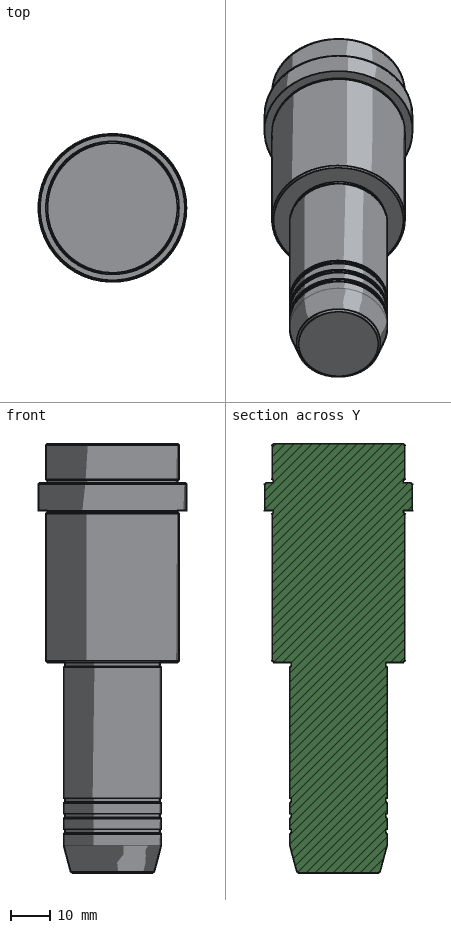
import cadquery as cq
import math

total_height = 110.0
body_radius = 17.0
collar_radius = 18.98
stem_radius = 12.5

body_bottom = 53.9
collar_bottom = 92.8
collar_top = 100.0
head_bottom = 100.5

edge_chamfer = 0.4
relief_depth = 0.3
stem_relief_height = 1.2
collar_relief_height = 0.8
groove_height = 1.2

cone_top = 7.2
cone_angle = 15.0
tip_radius = stem_radius - cone_top * math.tan(math.radians(cone_angle))

groove_count = 3
groove_pitch = 4.0
lowest_groove_bottom = 10.0


def cylinder(radius, bottom, top):
    """Solid cylinder on the Z axis between two heights."""
    return cq.Workplane("XY").workplane(offset=bottom).circle(radius).extrude(top - bottom)


def relief_ring(radius, bottom, height):
    """Ring for cutting a groove with a square upper wall and a 45 degree lower wall."""
    root_radius = radius - relief_depth
    profile = (
        cq.Workplane("XZ")
        .polyline([
            (radius, bottom),
            (radius, bottom + height),
            (root_radius, bottom + height),
            (root_radius, bottom + relief_depth),
        ])
        .close()
    )
    return profile.revolve(360, (0, 0, 0), (0, 1, 0))


stem_profile = (
    cq.Workplane("XZ")
    .polyline([
        (0, 0),
        (tip_radius, 0),
        (stem_radius, cone_top),
        (stem_radius, body_bottom),
        (0, body_bottom),
    ])
    .close()
)
stem = stem_profile.revolve(360, (0, 0, 0), (0, 1, 0)).faces("<Z").edges().chamfer(edge_chamfer)

for index in range(groove_count):
    groove_bottom = lowest_groove_bottom + index * groove_pitch
    stem = stem.cut(relief_ring(stem_radius, groove_bottom, groove_height))

stem = stem.cut(relief_ring(stem_radius, body_bottom - stem_relief_height, stem_relief_height))

body = cylinder(body_radius, body_bottom, collar_bottom).faces("<Z").edges().chamfer(edge_chamfer)
body = body.cut(relief_ring(body_radius, collar_bottom - collar_relief_height, collar_relief_height))

collar = cylinder(collar_radius, collar_bottom, collar_top).faces(">Z").edges().chamfer(edge_chamfer)
neck = cylinder(body_radius - relief_depth, collar_top, head_bottom)
head = cylinder(body_radius, head_bottom, total_height)
head = head.faces(">Z").edges().chamfer(edge_chamfer)
head = head.faces("<Z").edges().chamfer(relief_depth)

result = stem.union(body).union(collar).union(neck).union(head)